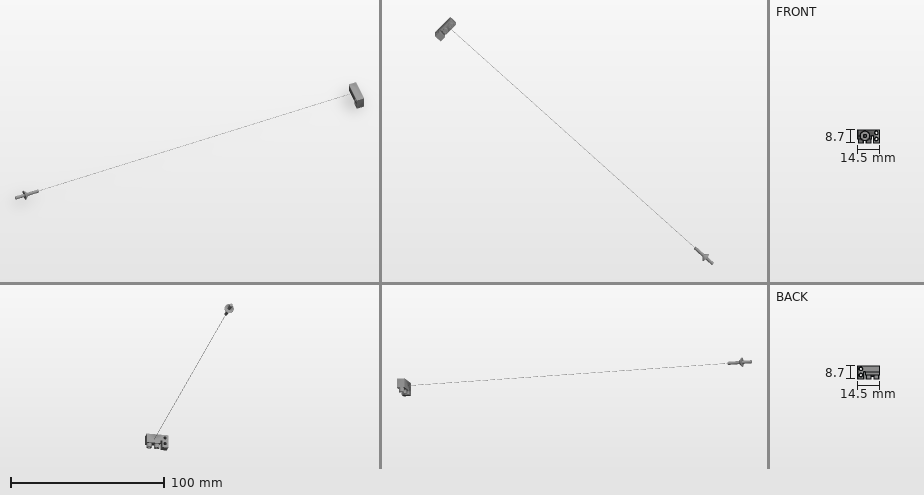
import cadquery as cq

total_length = 241.0
block_length = 14.5
block_depth = 5.0
block_height = 8.7
leg_width = 4.0
block_front_y = total_length - block_depth
block_middle_y = total_length - block_depth / 2
leg_left_x = block_length - leg_width

cross_hole_diameter = 2.2
cross_hole_x = 12.3
lower_hole_z = 2.7
hole_pitch = 4.0
cross_hole_heights = (lower_hole_z, lower_hole_z + hole_pitch)

screw_pitch = 5.0
first_screw_x = 2.2
screw_positions = (first_screw_x, first_screw_x + screw_pitch)
shaft_diameter = 2.2
head_diameter = 3.4
head_height = 2.7
socket_width = 1.7
socket_depth = 1.0

plate_thickness = 2.05
plate_gap = 1.08
plate_length = leg_left_x - plate_gap
seam_z = head_height + plate_thickness

wire_diameter = 0.2
wire_x = 4.8
wire_z = seam_z

tube_diameter = 2.05
tube_length = 16.2
flange_diameter = 6.3
flange_front_y = 6.3
flange_rim = 0.2
flange_length = 2.2


def bar(length, bottom_z, top_z):
    """Bar with the depth of the block, starting at x = 0."""
    size = (length, block_depth, top_z - bottom_z)
    return cq.Workplane("XY", origin=(0, block_front_y, bottom_z)).box(*size, centered=False)


def rod_along_y(x, z, diameter, start_y, end_y):
    return cq.Workplane("XZ", origin=(x, start_y, z)).circle(diameter / 2).extrude(start_y - end_y)


def rod_along_z(x, diameter, bottom_z, top_z):
    plane = cq.Workplane("XY", origin=(x, block_middle_y, bottom_z))
    return plane.circle(diameter / 2).extrude(top_z - bottom_z)


def make_wire():
    return rod_along_y(wire_x, wire_z, wire_diameter, 0, total_length)


def cut_clamp_holes(body):
    """Cut the screw holes and the half groove for the wire."""
    for x in screw_positions:
        body = body.cut(rod_along_z(x, shaft_diameter, 0, block_height))
    return body.cut(make_wire())


def make_block():
    leg = bar(leg_width, 0, block_height).translate((leg_left_x, 0, 0))
    block = bar(block_length, seam_z, block_height).union(leg)
    for z in cross_hole_heights:
        block = block.cut(rod_along_y(cross_hole_x, z, cross_hole_diameter, block_front_y, total_length))
    return cut_clamp_holes(block)


def make_plate():
    return cut_clamp_holes(bar(plate_length, head_height, seam_z))


def make_screw(x):
    head = rod_along_z(x, head_diameter, 0, head_height)
    shaft = rod_along_z(x, shaft_diameter, head_height, block_height)
    socket_plane = cq.Workplane("XY", origin=(x, block_middle_y, 0))
    socket = socket_plane.polygon(6, socket_width).extrude(socket_depth)
    return head.union(shaft).cut(socket)


def make_tube():
    return rod_along_y(wire_x, wire_z, tube_diameter, 0, tube_length).cut(make_wire())


def make_flange():
    """Disc with a thin rim, tapering to the tube on its rear side and bored for the tube."""
    rim_radius = flange_diameter / 2
    bore_radius = tube_diameter / 2
    half_profile = [
        (bore_radius, 0),
        (rim_radius, 0),
        (rim_radius, flange_rim),
        (bore_radius, flange_length),
    ]
    flange = cq.Workplane("XY").polyline(half_profile).close().revolve(360, (0, 0, 0), (0, 1, 0))
    return flange.translate((wire_x, flange_front_y, wire_z))


block = make_block()
plate = make_plate()
wire = make_wire()
tube = make_tube()
flange = make_flange()
screws = [make_screw(x) for x in screw_positions]

result = cq.Compound.makeCompound(
    [block.val(), plate.val(), wire.val(), tube.val(), flange.val()]
    + [screw.val() for screw in screws]
)